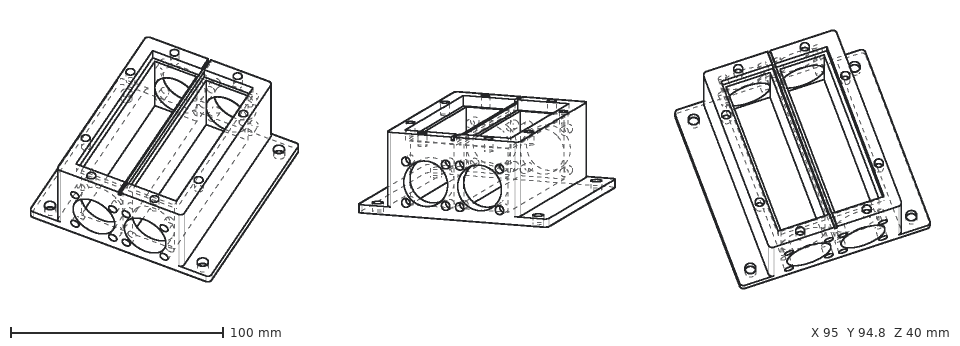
import cadquery as cq

plate_length = 95.05
plate_width = 94.8
plate_thickness = 4.0
corner_radius = 2.0
mount_hole_diameter = 5.2
mount_hole_x = 40.2
mount_hole_y = 40.1

total_height = 40.0
block_length = 66.4
groove_width = 1.3
groove_depth = 1.6

bore_diameter = 22.0
bore_x = 13.5
bore_z = 16.5
chamber_width = 77.6
chamber_floor_z = plate_thickness

recess_length = 52.85
recess_width = 80.6
recess_depth = 5.0

screw_diameter = 4.2
screw_depth = 6.0
end_rim_screw_x = 16.6
end_rim_screw_y = 43.7
side_rim_screw_x = 29.75
side_rim_screw_y = 23.6
bore_screw_offset = 10.0

SIDES = (-1, 1)


def mirrored_points(x, y):
    """The four points mirrored about both centre planes."""
    return [(sx * x, sy * y) for sx in SIDES for sy in SIDES]


def box_between(length, width, bottom, top, x=0):
    """An upright box between two heights, centred at x on the X axis."""
    base = cq.Workplane("XY", origin=(x, 0, bottom))
    return base.box(length, width, top - bottom, centered=(True, True, False))


def rounded_block(length, height):
    """A full-width block with rounded vertical edges."""
    return box_between(length, plate_width, 0, height).edges("|Z").fillet(corner_radius)


def make_body():
    return rounded_block(plate_length, plate_thickness).union(rounded_block(block_length, total_height))


def make_mount_holes():
    holes = cq.Workplane("XY").pushPoints(mirrored_points(mount_hole_x, mount_hole_y))
    return holes.circle(mount_hole_diameter / 2).extrude(plate_thickness)


def make_rim_screws():
    points = mirrored_points(end_rim_screw_x, end_rim_screw_y)
    points += mirrored_points(side_rim_screw_x, side_rim_screw_y)
    top = cq.Workplane("XY", origin=(0, 0, total_height)).pushPoints(points)
    return top.circle(screw_diameter / 2).extrude(-screw_depth)


def make_chamber(side):
    """Chamber, mouth recess and through bore on one side."""
    x = side * bore_x
    chamber = box_between(bore_diameter, chamber_width, chamber_floor_z, total_height, x)
    mouth_length = (recess_length - groove_width) / 2
    recess_x = side * (groove_width + mouth_length) / 2
    recess = box_between(mouth_length, recess_width, total_height - recess_depth, total_height, recess_x)
    bore = cq.Workplane("XZ").center(x, bore_z).circle(bore_diameter / 2).extrude(plate_width / 2, both=True)
    return chamber.union(recess).union(bore)


def make_bore_screws(x):
    """Square screw pattern around a bore, in both end faces."""
    pattern = cq.Workplane("XZ", origin=(x, -plate_width / 2, bore_z))
    pattern = pattern.pushPoints(mirrored_points(bore_screw_offset, bore_screw_offset))
    front = pattern.circle(screw_diameter / 2).extrude(-screw_depth)
    return front.union(front.mirror("XZ"))


def make_groove():
    return box_between(groove_width, plate_width, total_height - groove_depth, total_height)


result = make_body().cut(make_mount_holes()).cut(make_rim_screws()).cut(make_groove())
for side in SIDES:
    result = result.cut(make_chamber(side)).cut(make_bore_screws(side * bore_x))